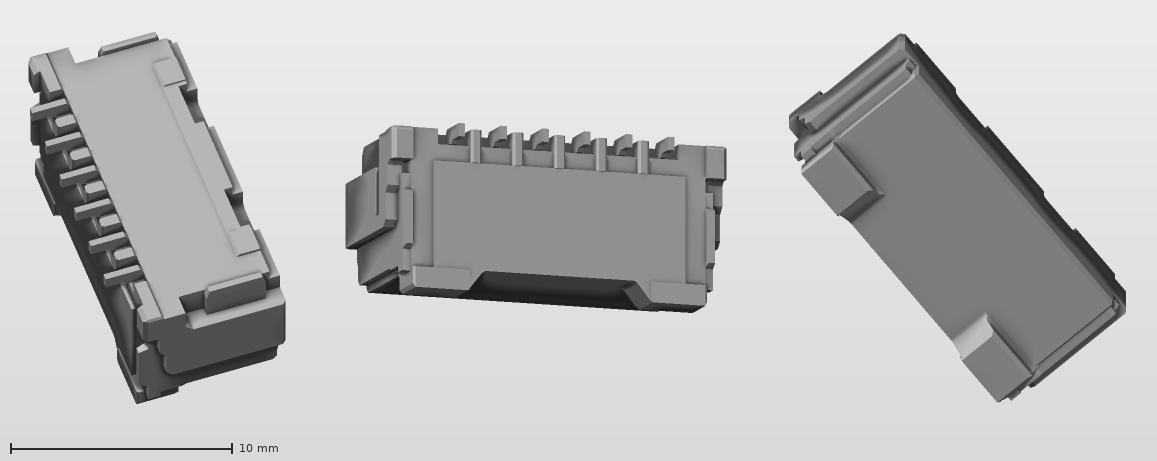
import cadquery as cq


HALF_WIDTH = 8.0
CORE_HALF_WIDTH = 7.02
PLATE_HALF_WIDTH = 7.42
BOTTOM_Z = 0.96
TOP_Z = 7.28
RAISED_TOP_Z = 7.42
PIN_TOP_Z = 7.5
PIN_TIP_DEPTH = 7.7

FRONT_DEPTH = 6.55
PANEL_DEPTH = 6.75
LIP_DEPTH = 6.85
PANEL_HALF_WIDTH = 6.0
SHOULDER_Z = 5.9

WALL_BOTTOM_Z = 2.95
WALL_FRONT_DEPTH = 5.78
WALL_STEP_Z = 4.48
WALL_STEP_CHAMFER = 0.3
WALL_TOP_CHAMFER = 0.2
SHOULDER_DEPTH = 4.48
BLOCK_BACK_DEPTH = 4.86
BLOCK_FOOT_Z = 6.27
CORNER_CHAMFER = 0.2
POCKET_HALF_WIDTH = 7.31
POCKET_BACK_DEPTH = 5.76

SIDE_PLATE_TOP_Z = 5.3
SIDE_PLATE_BACK_DEPTH = 0.1
SIDE_PLATE_LOW_BACK_DEPTH = 0.29
SIDE_PLATE_CORNER_CHAMFER = 0.2
SIDE_PLATE_BACK_STEP = (2.03, 2.42)
SIDE_PLATE_BOTTOM_Z = 1.22
SIDE_PLATE_FRONT_BOTTOM_Z = 1.12
SIDE_PLATE_BOTTOM_STEP = (4.6, 4.82)
SIDE_PLATE_HOOK_DEPTH = 5.87
SIDE_PLATE_HOOK_Z = 0.82

BODY_BOTTOM_DEPTH = 4.69
DRAFT_HEIGHT = 0.43
DRAFT_WIDTH = 0.11
BACK_BEVEL_DEPTH = 0.18
BACK_BEVEL_HEIGHT = 0.38

TAB_DEPTHS = (0.8, 3.65)
TAB_CHAMFER_Z = 7.09
TAB_END_TAPER = 0.15
TAB_SIDE_TAPER = 0.05
FRONT_TAB_HEIGHTS = (1.8, 4.58)
FRONT_TAB_BASE_DEPTH = 6.45
FRONT_TAB_TIP_DEPTH = 6.9
FRONT_TAB_END_TAPER = 0.18

SLOT_BACK_DEPTH = 4.29
SLOT_FLOOR_Z = 3.63
SLOT_INNER_X = 7.52
SLOT_CORNER_CHAMFER = 0.2

LEDGE_DEPTH = 0.5
LEDGE_Z = 6.77
PAD_OUTER_X = 5.76
PAD_INNER_X = 4.42
PAD_FLAT_DEPTH = 1.49
PAD_SLOPE = 0.16
STRIP_Z = 7.33
STRIP_SLOPE = 0.05
GROOVE_CENTER_X = 3.1
GROOVE_WIDTH = 2.24
GROOVE_DEPTH = 0.91
GROOVE_FLOOR_BACK_Z = 5.76
GROOVE_FLOOR_FRONT_Z = 5.89
GROOVE_FILLET = 0.32

PIN_COUNT = 6
PIN_PITCH = 2.0
PIN_WIDTH = 0.3
PIN_BOTTOM_Z = 6.9
PIN_ROOT_BOTTOM_Z = 6.74
PIN_UNDERSIDE_RAMP = 0.16
PIN_EMBED = 0.16
PIN_TOP_FLAT_DEPTH = 6.05
ROW_BACK_DEPTH = 5.87
ROW_FLOOR_Z = 6.7
ROW_HALF_WIDTH = 5.76
TOP_RISE_DEPTH = 5.98
RIB_WIDTH = 0.51
RIB_FRONT_CHAMFER = 0.1

EAR_CHAMFER = 0.2
EAR_EDGE_CHAMFER = 0.1

FOOT_BACK_CHAMFER = 0.2
FOOT_SIDE_CHAMFER = 0.1
LIP_INNER_X = 4.32
FOOT_INNER_X = 4.4
FOOT_SLOPE_TOP_X = 3.63
FOOT_SLOPE_RADIUS = 0.32
FOOT_ROOT_Z = 1.22


def block(x_range, depth_range, z_range):
    """Box between two x values, two depths and two heights."""
    x0, x1 = x_range
    d0, d1 = depth_range
    z0, z1 = z_range
    return cq.Workplane("XY").box(x1 - x0, d1 - d0, z1 - z0, centered=False).translate((x0, -d1, z0))


def side_profile(points, x_range):
    """Extrude an outline of (depth, z) points along X."""
    x0, x1 = x_range
    outline = [(-depth, z) for depth, z in points]
    return cq.Workplane("YZ").polyline(outline).close().extrude(x1 - x0).translate((x0, 0, 0))


def front_profile(points, depth):
    """Extrude an outline of (x, z) points forward from the back face."""
    return cq.Workplane("XZ").polyline(points).close().extrude(depth)


def plan_profile(points, z_range):
    """Extrude an outline of (x, depth) points upward."""
    z0, z1 = z_range
    outline = [(x, -depth) for x, depth in points]
    return cq.Workplane("XY").polyline(outline).close().extrude(z1 - z0).translate((0, 0, z0))


def symmetric(half_width):
    """Range of x values centred on the part."""
    return (-half_width, half_width)


def both_sides(shape):
    """Join a +X side feature with its mirror image."""
    return shape.union(shape.mirror("YZ"))


def thick_walls():
    """Full-width body: side walls below the shoulder, raised block in front."""
    upper_front_depth = WALL_FRONT_DEPTH + WALL_STEP_CHAMFER
    outline = [
        (0, WALL_BOTTOM_Z),
        (WALL_FRONT_DEPTH - WALL_STEP_CHAMFER, WALL_BOTTOM_Z),
        (WALL_FRONT_DEPTH, WALL_BOTTOM_Z + WALL_STEP_CHAMFER),
        (WALL_FRONT_DEPTH, WALL_STEP_Z),
        (upper_front_depth, WALL_STEP_Z + WALL_STEP_CHAMFER),
        (upper_front_depth, SHOULDER_Z - WALL_TOP_CHAMFER),
        (upper_front_depth + WALL_TOP_CHAMFER, SHOULDER_Z),
        (FRONT_DEPTH, SHOULDER_Z),
        (FRONT_DEPTH, TOP_Z),
        (BLOCK_BACK_DEPTH, TOP_Z),
        (BLOCK_BACK_DEPTH, BLOCK_FOOT_Z),
        (SHOULDER_DEPTH, SHOULDER_Z),
        (0, SHOULDER_Z),
    ]
    walls = side_profile(outline, symmetric(HALF_WIDTH))
    walls = walls.edges("|Z and >Y").chamfer(CORNER_CHAMFER)
    pocket = block(
        (CORE_HALF_WIDTH, POCKET_HALF_WIDTH),
        (POCKET_BACK_DEPTH, FRONT_DEPTH),
        (SIDE_PLATE_TOP_Z, SHOULDER_Z),
    )
    return walls.cut(both_sides(pocket))


def core():
    """Central body: ledge along its back top edge, trimmed corners and drafted sides below."""
    outline = [
        (0, BOTTOM_Z),
        (FRONT_DEPTH, BOTTOM_Z),
        (FRONT_DEPTH, RAISED_TOP_Z),
        (TOP_RISE_DEPTH, RAISED_TOP_Z),
        (ROW_BACK_DEPTH, TOP_Z),
        (LEDGE_DEPTH, TOP_Z),
        (LEDGE_DEPTH, LEDGE_Z),
        (0, LEDGE_Z),
    ]
    body = side_profile(outline, symmetric(CORE_HALF_WIDTH))
    x = CORE_HALF_WIDTH
    corner = plan_profile(
        [(x, 0), (x - CORNER_CHAMFER, 0), (x, CORNER_CHAMFER)],
        (BOTTOM_Z, WALL_BOTTOM_Z),
    )
    draft = front_profile(
        [(x, BOTTOM_Z), (x - DRAFT_WIDTH, BOTTOM_Z), (x, BOTTOM_Z + DRAFT_HEIGHT)],
        BODY_BOTTOM_DEPTH,
    )
    return body.cut(both_sides(corner)).cut(both_sides(draft))


def side_plates():
    """Plates beside the core, below and in front of the thick side walls."""
    back_step_low, back_step_high = SIDE_PLATE_BACK_STEP
    bottom_step_back, bottom_step_front = SIDE_PLATE_BOTTOM_STEP
    embed_z = WALL_BOTTOM_Z + WALL_STEP_CHAMFER
    outline = [
        (SIDE_PLATE_BACK_DEPTH, embed_z),
        (POCKET_BACK_DEPTH, embed_z),
        (POCKET_BACK_DEPTH, SIDE_PLATE_TOP_Z),
        (FRONT_TAB_BASE_DEPTH, SIDE_PLATE_TOP_Z),
        (FRONT_TAB_BASE_DEPTH, SIDE_PLATE_HOOK_Z),
        (SIDE_PLATE_HOOK_DEPTH, SIDE_PLATE_HOOK_Z),
        (SIDE_PLATE_HOOK_DEPTH, SIDE_PLATE_FRONT_BOTTOM_Z),
        (bottom_step_front, SIDE_PLATE_FRONT_BOTTOM_Z),
        (bottom_step_back, SIDE_PLATE_BOTTOM_Z),
        (SIDE_PLATE_LOW_BACK_DEPTH + SIDE_PLATE_CORNER_CHAMFER, SIDE_PLATE_BOTTOM_Z),
        (SIDE_PLATE_LOW_BACK_DEPTH, SIDE_PLATE_BOTTOM_Z + SIDE_PLATE_CORNER_CHAMFER),
        (SIDE_PLATE_LOW_BACK_DEPTH, back_step_low),
        (SIDE_PLATE_BACK_DEPTH, back_step_high),
    ]
    return both_sides(side_profile(outline, (CORE_HALF_WIDTH, PLATE_HALF_WIDTH)))


def top_tab():
    """+X solder tab standing on the shoulder, narrowing at its tip."""
    d0, d1 = TAB_DEPTHS
    outline = [
        (d0, SHOULDER_Z),
        (d0, TAB_CHAMFER_Z),
        (d0 + TAB_END_TAPER, PIN_TOP_Z),
        (d1 - TAB_END_TAPER, PIN_TOP_Z),
        (d1, TAB_CHAMFER_Z),
        (d1, SHOULDER_Z),
    ]
    tab = side_profile(outline, (CORE_HALF_WIDTH, PLATE_HALF_WIDTH))
    section = front_profile(
        [
            (CORE_HALF_WIDTH, SHOULDER_Z),
            (PLATE_HALF_WIDTH, SHOULDER_Z),
            (PLATE_HALF_WIDTH, TAB_CHAMFER_Z),
            (PLATE_HALF_WIDTH - TAB_SIDE_TAPER, PIN_TOP_Z),
            (CORE_HALF_WIDTH + TAB_SIDE_TAPER, PIN_TOP_Z),
            (CORE_HALF_WIDTH, TAB_CHAMFER_Z),
        ],
        FRONT_DEPTH,
    )
    return tab.intersect(section)


def front_tab():
    """+X solder tab pointing forward, narrowing at its tip."""
    z0, z1 = FRONT_TAB_HEIGHTS
    outline = [
        (POCKET_BACK_DEPTH, z0),
        (FRONT_TAB_BASE_DEPTH, z0),
        (FRONT_TAB_TIP_DEPTH, z0 + FRONT_TAB_END_TAPER),
        (FRONT_TAB_TIP_DEPTH, z1 - FRONT_TAB_END_TAPER),
        (FRONT_TAB_BASE_DEPTH, z1),
        (POCKET_BACK_DEPTH, z1),
    ]
    tab = side_profile(outline, (CORE_HALF_WIDTH, PLATE_HALF_WIDTH))
    section = plan_profile(
        [
            (CORE_HALF_WIDTH, POCKET_BACK_DEPTH),
            (PLATE_HALF_WIDTH, POCKET_BACK_DEPTH),
            (PLATE_HALF_WIDTH, FRONT_TAB_BASE_DEPTH),
            (PLATE_HALF_WIDTH - TAB_SIDE_TAPER, FRONT_TAB_TIP_DEPTH),
            (CORE_HALF_WIDTH + TAB_SIDE_TAPER, FRONT_TAB_TIP_DEPTH),
            (CORE_HALF_WIDTH, FRONT_TAB_BASE_DEPTH),
        ],
        FRONT_TAB_HEIGHTS,
    )
    return tab.intersect(section)


def ear():
    """+X front corner block with bevelled outer edges."""
    outline = [
        (ROW_BACK_DEPTH, SHOULDER_Z),
        (LIP_DEPTH, SHOULDER_Z),
        (LIP_DEPTH, RAISED_TOP_Z - EAR_CHAMFER),
        (LIP_DEPTH - EAR_CHAMFER, RAISED_TOP_Z),
        (TOP_RISE_DEPTH, RAISED_TOP_Z),
        (ROW_BACK_DEPTH, TOP_Z),
    ]
    body = side_profile(outline, (CORE_HALF_WIDTH, HALF_WIDTH))
    body = body.edges(">X and <Y").chamfer(EAR_CHAMFER)
    return body.edges(">X and >Z").chamfer(EAR_EDGE_CHAMFER)


def feet():
    """Front wall carried down into two feet with sloped inner sides."""
    front_outline = front_profile(
        [
            (FOOT_INNER_X, 0),
            (CORE_HALF_WIDTH - FOOT_SIDE_CHAMFER, 0),
            (CORE_HALF_WIDTH, FOOT_BACK_CHAMFER),
            (CORE_HALF_WIDTH, SHOULDER_Z),
            (0, SHOULDER_Z),
            (0, BOTTOM_Z),
            (FOOT_SLOPE_TOP_X, BOTTOM_Z),
        ],
        LIP_DEPTH,
    )
    slope_top = (FOOT_SLOPE_TOP_X, -LIP_DEPTH / 2, BOTTOM_Z)
    front_outline = front_outline.edges(cq.NearestToPointSelector(slope_top)).fillet(FOOT_SLOPE_RADIUS)
    outline = [
        (BODY_BOTTOM_DEPTH - (FOOT_ROOT_Z - BOTTOM_Z), FOOT_ROOT_Z),
        (BLOCK_BACK_DEPTH, BOTTOM_Z - (BLOCK_BACK_DEPTH - BODY_BOTTOM_DEPTH)),
        (BLOCK_BACK_DEPTH, FOOT_BACK_CHAMFER),
        (BLOCK_BACK_DEPTH + FOOT_BACK_CHAMFER, 0),
        (PANEL_DEPTH, 0),
        (PANEL_DEPTH, BOTTOM_Z),
        (FRONT_DEPTH, BOTTOM_Z),
        (FRONT_DEPTH, FOOT_ROOT_Z),
    ]
    foot = side_profile(outline, (0, CORE_HALF_WIDTH)).intersect(front_outline)
    lip = block((LIP_INNER_X, CORE_HALF_WIDTH), (FRONT_DEPTH, LIP_DEPTH), (0, BOTTOM_Z))
    lip = lip.edges(">X and <Y").chamfer(FOOT_SIDE_CHAMFER).intersect(front_outline)
    return both_sides(foot.union(lip))


def front_panel():
    """Raised panel on the front face."""
    return block(symmetric(PANEL_HALF_WIDTH), (FRONT_DEPTH, PANEL_DEPTH), (BOTTOM_Z, SHOULDER_Z))


def back_top_strip():
    """Low strip along the back of the top, ending in two higher pads."""
    def raised(x_range, height, flat_depth, slope):
        outline = [
            (LEDGE_DEPTH, LEDGE_Z),
            (LEDGE_DEPTH, height),
            (flat_depth, height),
            (flat_depth + slope, TOP_Z),
            (flat_depth + slope, LEDGE_Z),
        ]
        return side_profile(outline, x_range)

    strip_flat_depth = PAD_FLAT_DEPTH + PAD_SLOPE - STRIP_SLOPE
    strip = raised(symmetric(PAD_INNER_X), STRIP_Z, strip_flat_depth, STRIP_SLOPE)
    pad = raised((PAD_INNER_X, PAD_OUTER_X), RAISED_TOP_Z, PAD_FLAT_DEPTH, PAD_SLOPE)
    return strip.union(both_sides(pad))


def groove():
    """+X locking groove in the back top edge: rounded sides, floor falling to the back."""
    outline = [
        (0, GROOVE_FLOOR_BACK_Z),
        (GROOVE_DEPTH, GROOVE_FLOOR_FRONT_Z),
        (GROOVE_DEPTH, RAISED_TOP_Z),
        (0, RAISED_TOP_Z),
    ]
    x_range = (GROOVE_CENTER_X - GROOVE_WIDTH / 2, GROOVE_CENTER_X + GROOVE_WIDTH / 2)
    cutter = side_profile(outline, x_range)
    return cutter.faces("<Z").edges("not |X").fillet(GROOVE_FILLET)


def wall_slot():
    """Vertical slot in the -X wall with a bevelled inner corner."""
    x_range = (-HALF_WIDTH, -SLOT_INNER_X)
    slot = block(x_range, (SLOT_BACK_DEPTH, BLOCK_BACK_DEPTH), (SLOT_FLOOR_Z, TOP_Z))
    return slot.edges(">X and >Y").chamfer(SLOT_CORNER_CHAMFER)


def spaced_row(shape, count):
    """Copies of a shape along X at the pin pitch, centred on the part."""
    row = cq.Workplane("XY")
    for index in range(count):
        x = (index - (count - 1) / 2) * PIN_PITCH
        row = row.union(shape.translate((x, 0, 0)))
    return row


def pins():
    """Contact tails leaving the recess, thicker where they enter the housing."""
    outline = [
        (ROW_BACK_DEPTH - PIN_EMBED, PIN_ROOT_BOTTOM_Z),
        (LIP_DEPTH - PIN_UNDERSIDE_RAMP, PIN_ROOT_BOTTOM_Z),
        (LIP_DEPTH, PIN_BOTTOM_Z),
        (PIN_TIP_DEPTH, PIN_BOTTOM_Z),
        (PIN_TIP_DEPTH, PIN_TOP_Z),
        (PIN_TOP_FLAT_DEPTH, PIN_TOP_Z),
        (ROW_BACK_DEPTH, TOP_Z),
        (ROW_BACK_DEPTH - PIN_EMBED, TOP_Z),
    ]
    pin = side_profile(outline, symmetric(PIN_WIDTH / 2))
    return spaced_row(pin, PIN_COUNT)


def ribs():
    """Ribs midway between neighbouring pins."""
    outline = [
        (ROW_BACK_DEPTH, SHOULDER_Z),
        (LIP_DEPTH, SHOULDER_Z),
        (LIP_DEPTH, RAISED_TOP_Z),
        (TOP_RISE_DEPTH, RAISED_TOP_Z),
        (ROW_BACK_DEPTH, TOP_Z),
    ]
    rib = side_profile(outline, symmetric(RIB_WIDTH / 2))
    rib = rib.edges("|Z and <Y").chamfer(RIB_FRONT_CHAMFER)
    return spaced_row(rib, PIN_COUNT - 1)


def pin_recess():
    """Recess along the front top edge around the pins."""
    return block(symmetric(ROW_HALF_WIDTH), (ROW_BACK_DEPTH, LIP_DEPTH), (ROW_FLOOR_Z, PIN_TOP_Z))


def back_bevel():
    """Wedge that bevels the lower edge of the back face."""
    outline = [
        (0, BOTTOM_Z),
        (BACK_BEVEL_DEPTH, BOTTOM_Z),
        (0, BOTTOM_Z + BACK_BEVEL_HEIGHT),
    ]
    return side_profile(outline, symmetric(HALF_WIDTH))


housing = core().union(thick_walls())
housing = housing.cut(pin_recess())
housing = housing.union(side_plates())
housing = housing.cut(back_bevel())
housing = housing.union(front_panel()).union(feet())
housing = housing.union(both_sides(ear()))
housing = housing.union(back_top_strip())
housing = housing.cut(both_sides(groove())).cut(wall_slot())
housing = housing.union(both_sides(top_tab())).union(both_sides(front_tab()))

result = housing.union(ribs()).union(pins())